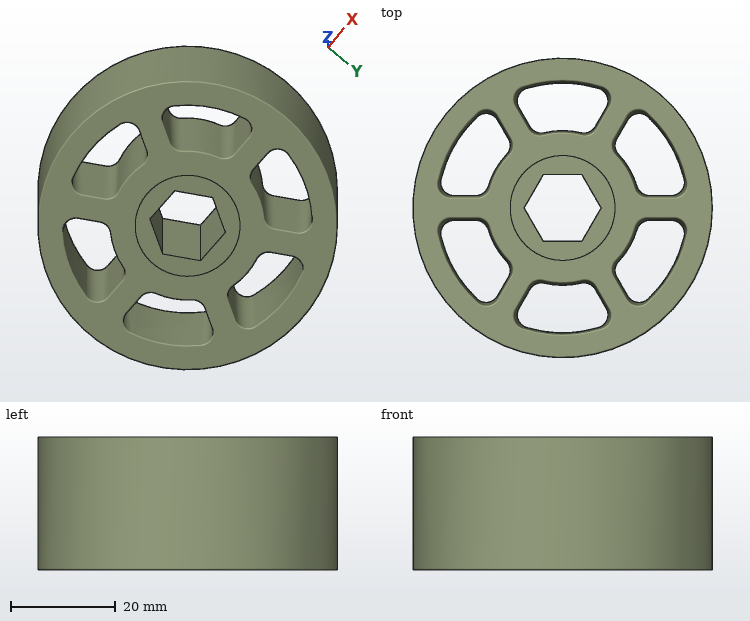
import cadquery as cq
import math

wheel_diameter = 57.15
wheel_width = 25.4
edge_radius = 0.25

hub_diameter = 20.0
hex_across_flats = 12.7
hex_sides = 6

spoke_count = 6
spoke_width = 3.9
window_inner_radius = 14.35
window_outer_radius = 24.25
corner_radius = 2.5
draft_angle = 1.0
draft_inset = wheel_width * math.tan(math.radians(draft_angle))


def make_spoke_bar():
    """Bar along the X axis that forms two opposite spokes and widens towards the bottom face."""
    top_half = spoke_width / 2
    bottom_half = top_half + draft_inset
    return (
        cq.Workplane("YZ")
        .polyline([(-bottom_half, 0), (bottom_half, 0), (top_half, wheel_width), (-top_half, wheel_width)])
        .close()
        .extrude(wheel_diameter / 2, both=True)
    )


def make_windows():
    """Drafted cutters for all windows: a tapered ring divided by the spokes, with rounded corners."""
    windows = (
        cq.Workplane("XZ")
        .moveTo(window_inner_radius + draft_inset, 0)
        .lineTo(window_outer_radius - draft_inset, 0)
        .lineTo(window_outer_radius, wheel_width)
        .lineTo(window_inner_radius, wheel_width)
        .close()
        .revolve(360, (0, 0, 0), (0, 1, 0))
    )
    spoke_bar = make_spoke_bar()
    for index in range(spoke_count // 2):
        windows = windows.cut(spoke_bar.rotate((0, 0, 0), (0, 0, 1), index * 360 / spoke_count))
    return windows.edges("not(<Z or >Z)").fillet(corner_radius)


def make_wheel():
    """Spoked wheel with rounded rims and a round seat for the hub."""
    wheel = cq.Workplane("XY").circle(wheel_diameter / 2).extrude(wheel_width).cut(make_windows())
    wheel = wheel.faces("<Z or >Z").edges().fillet(edge_radius)
    hub_seat = cq.Workplane("XY").circle(hub_diameter / 2).extrude(wheel_width)
    return wheel.cut(hub_seat)


def make_hub():
    """Cylindrical hub with a hexagonal through bore, two corners on the X axis."""
    hex_across_corners = hex_across_flats / math.cos(math.pi / hex_sides)
    return (
        cq.Workplane("XY")
        .circle(hub_diameter / 2)
        .polygon(hex_sides, hex_across_corners)
        .extrude(wheel_width)
    )


wheel = make_wheel()
hub = make_hub()

result = cq.Compound.makeCompound([wheel.val(), hub.val()])